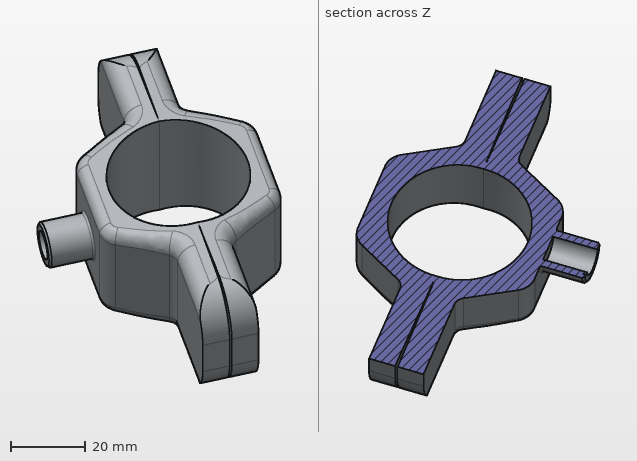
import cadquery as cq
import math

length = 101.6
split_height = 36.2
top_slope = 5.0

half_offset = 0.6
body_face_y = 25.3
bore_radius = 18.8
corner_radius = 5.9
neck_radius = 3.0

lug_face_y = 7.8
lug_end_radius = 12.7

lug_rim = 5.3
neck_rim = 4.8
body_rim = 3.4

gap_width = 0.6
gap_tip_x = 20.3

pin_diameter = 12.7
pin_bore_diameter = 7.9
pin_tip_y = 37.9
pin_root_fillet = 0.6
pin_tip_chamfer = 0.6

half_length = length / 2
half_height = split_height / 2
slant = math.tan(math.radians(30))
hex_corner_x = (body_face_y - half_offset) * slant
neck_x = hex_corner_x + (body_face_y - lug_face_y) * slant
pin_length = pin_tip_y - body_face_y
tolerance = 0.01


def edges_at(y, reach_x):
    """Selector for edges centred at Y = y and mid-height, within reach_x of the middle."""
    return cq.selectors.BoxSelector(
        (-reach_x - tolerance, y - tolerance, -tolerance),
        (reach_x + tolerance, y + tolerance, tolerance),
    )


def plan_prism():
    """Straight prism of the +Y half, with hexagon corners and lug necks rounded."""
    outline = [
        (-half_length, 0),
        (half_length, 0),
        (half_length, lug_face_y),
        (neck_x, lug_face_y),
        (hex_corner_x, body_face_y),
        (-hex_corner_x, body_face_y),
        (-neck_x, lug_face_y),
        (-half_length, lug_face_y),
    ]
    prism = cq.Workplane("XY").polyline(outline).close().extrude(half_height, both=True)
    hex_corners = edges_at(body_face_y, hex_corner_x)
    necks = edges_at(lug_face_y, neck_x)
    prism = prism.edges("|Z").edges(hex_corners).fillet(corner_radius)
    return prism.edges("|Z").edges(necks).fillet(neck_radius)


def slope_envelope():
    """Region between the sloping top and bottom planes of the +Y half."""
    face_half_height = half_height - body_face_y * math.tan(math.radians(top_slope))
    profile = [
        (0, -half_height),
        (body_face_y, -face_half_height),
        (body_face_y, face_half_height),
        (0, half_height),
    ]
    return cq.Workplane("YZ").polyline(profile).close().extrude(half_length, both=True)


def rim_radius(joint):
    """Rim fillet radius at a rim vertex, chosen by how far out its wall stands."""
    if joint.Y < lug_face_y + tolerance:
        return lug_rim
    if joint.Y < (lug_face_y + body_face_y) / 2:
        return neck_rim
    return body_rim


def round_rims(half):
    """Blend the walls into the sloping faces with a radius that varies along each rim."""
    blend = cq.occ_impl.shapes.BRepFilletAPI_MakeFillet(half.val().wrapped)
    for rim_number, side in enumerate((">Z", "<Z"), start=1):
        sloping_face = half.faces(side)
        blend.Add(sloping_face.edges(">Y").val().wrapped)
        for joint in sloping_face.vertices().vals():
            if joint.Y > tolerance:
                blend.SetRadius(rim_radius(joint), rim_number, joint.wrapped)
    return cq.Workplane(cq.Shape.cast(blend.Shape()))


def half_bore():
    """Part of the bore that lies in the +Y half."""
    cylinder = (
        cq.Workplane("XY")
        .center(0, half_offset)
        .circle(bore_radius)
        .extrude(half_height, both=True)
    )
    return cylinder.intersect(slope_envelope())


def lug_wedge():
    """Gap in the +X lug, opening from beside the bore to the lug end."""
    wedge = [
        (gap_tip_x, 0),
        (half_length, gap_width / 2),
        (half_length, -gap_width / 2),
    ]
    return cq.Workplane("XY").polyline(wedge).close().extrude(half_height, both=True)


def end_envelope():
    """Block with the rounded lug ends."""
    block = cq.Workplane("XY").box(length, 2 * body_face_y, split_height)
    return block.edges("|Y").fillet(lug_end_radius)


def add_pin(clamp):
    """Add the pin with a root fillet, a chamfered tip and a blind hole of its full length."""
    body_face = cq.Workplane("XZ", origin=(0, -body_face_y, 0))
    pin = body_face.circle(pin_diameter / 2).extrude(pin_length)
    pin = pin.faces("<Y").chamfer(pin_tip_chamfer)
    clamp = clamp.union(pin)
    root_circle = edges_at(-body_face_y, 0)
    clamp = clamp.edges("%CIRCLE").edges(root_circle).fillet(pin_root_fillet)
    return clamp.cut(body_face.circle(pin_bore_diameter / 2).extrude(pin_length))


half = round_rims(plan_prism().intersect(slope_envelope()))
half = half.intersect(end_envelope()).cut(half_bore())
clamp = half.union(half.mirror("XZ"))
clamp = clamp.cut(lug_wedge()).cut(lug_wedge().mirror("YZ"))
result = add_pin(clamp)